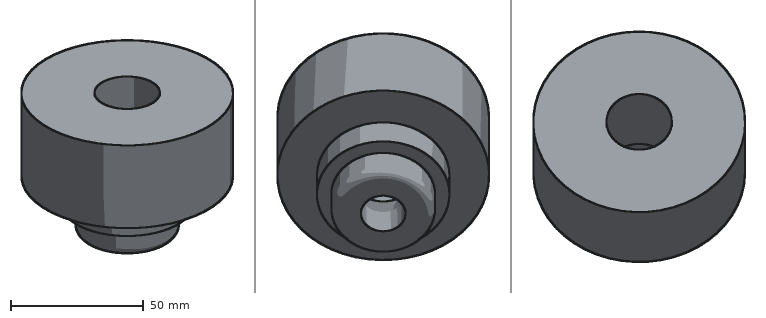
import cadquery as cq

head_diameter = 80
head_height = 36
collar_diameter = 50.0
collar_height = 12
spigot_diameter = 39.2
spigot_height = 12
spigot_edge_radius = 3.2

bore_diameter = 24.6
exit_diameter = 16.8
seat_height = collar_height
seat_base = spigot_height

collar_base = spigot_height
head_base = collar_base + collar_height
total_height = head_base + head_height


def cylinder(diameter, height, base):
    """Upright cylinder on the Z axis, starting at the given level."""
    return cq.Workplane("XY").workplane(offset=base).circle(diameter / 2).extrude(height)


def make_body():
    spigot = cylinder(spigot_diameter, spigot_height, 0)
    spigot = spigot.faces("<Z").edges().fillet(spigot_edge_radius)
    collar = cylinder(collar_diameter, collar_height, collar_base)
    head = cylinder(head_diameter, head_height, head_base)
    return spigot.union(collar).union(head)


def make_bore():
    """Solid of revolution filling the bore and its conical seat."""
    seat_top = seat_base + seat_height
    return (
        cq.Workplane("XZ")
        .moveTo(0, 0)
        .lineTo(exit_diameter / 2, 0)
        .lineTo(exit_diameter / 2, seat_base)
        .lineTo(bore_diameter / 2, seat_top)
        .lineTo(bore_diameter / 2, total_height)
        .lineTo(0, total_height)
        .close()
        .revolve(360, (0, 0, 0), (0, 1, 0))
    )


result = make_body().cut(make_bore())